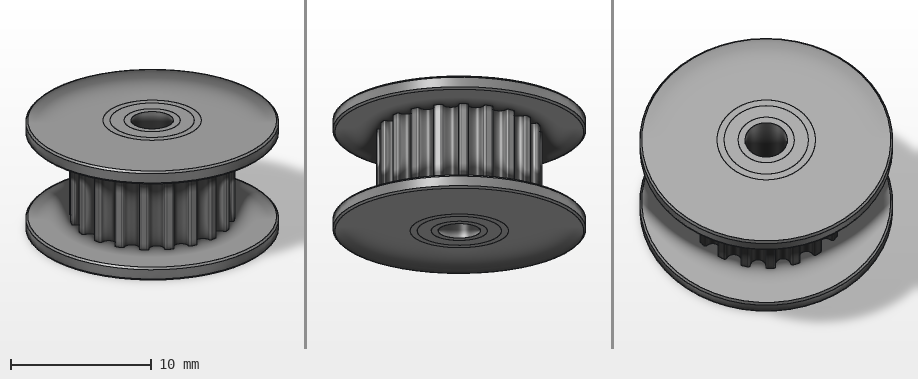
import cadquery as cq

flange_diameter = 18.0
height = 8.5
flange_thickness = 1.0
flange_chamfer = 0.15

tooth_count = 20
tooth_tip_diameter = 11.77
groove_radius = 0.55
groove_depth = 0.74
tooth_edge_fillet = 0.15
tooth_angle = 1.7

bearing_diameter = 7.0
shield_outer_diameter = 6.0
shield_inner_diameter = 4.0
shaft_bore_diameter = 3.0


def make_flange(bottom):
    """Disc with both rims chamfered."""
    disc = cq.Workplane("XY").workplane(offset=bottom).circle(flange_diameter / 2).extrude(flange_thickness)
    return disc.faces("|Z").edges().chamfer(flange_chamfer)


def make_toothed_hub():
    """Cylinder with evenly spaced round-bottomed grooves and rounded tooth edges."""
    hub_height = height - 2 * flange_thickness
    base = cq.Workplane("XY").workplane(offset=flange_thickness)
    hub = base.circle(tooth_tip_diameter / 2).extrude(hub_height)

    groove_center_radius = tooth_tip_diameter / 2 - groove_depth + groove_radius
    grooves = (
        base.polarArray(groove_center_radius, tooth_angle - 90, 360, tooth_count)
        .circle(groove_radius)
        .extrude(hub_height)
    )
    return hub.cut(grooves).edges("|Z").fillet(tooth_edge_fillet)


def make_pulley():
    """Toothed hub and two flanges in one piece, bored through for the bearing."""
    bore = cq.Workplane("XY").circle(bearing_diameter / 2).extrude(height)
    return (
        make_toothed_hub()
        .union(make_flange(0))
        .union(make_flange(height - flange_thickness))
        .cut(bore)
    )


def make_ring(outer_diameter, inner_diameter):
    """Plain ring over the full height of the pulley."""
    return cq.Workplane("XY").circle(outer_diameter / 2).circle(inner_diameter / 2).extrude(height)


pulley = make_pulley()
outer_race = make_ring(bearing_diameter, shield_outer_diameter)
shield = make_ring(shield_outer_diameter, shield_inner_diameter)
inner_race = make_ring(shield_inner_diameter, shaft_bore_diameter)

result = cq.Compound.makeCompound([pulley.val(), outer_race.val(), shield.val(), inner_race.val()])